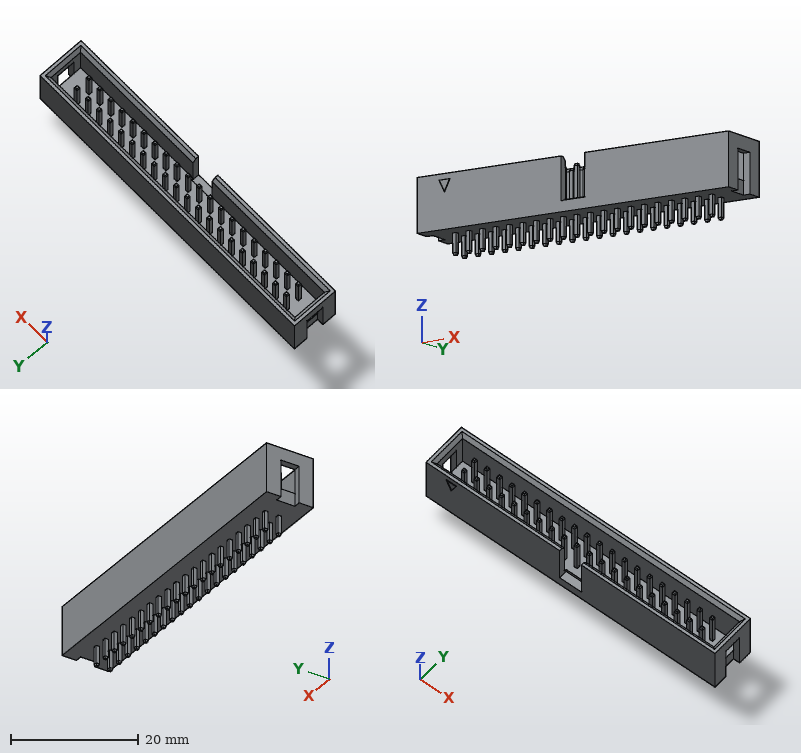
import cadquery as cq

length = 58.6
depth = 8.8
height = 9.0
wall = 1.25
floor_thickness = 2.35
rim_width = 0.6
lead_in = wall - rim_width

pin_count = 20
row_count = 2
row_length = 48.2
pitch = row_length / (pin_count - 1)
pin_width = 0.65
taper_height = 0.35
taper_inset = 0.1
pin_tail = 3.6
pin_top_gap = 0.75

notch_width = 4.4
notch_reach = 1.6
notch_bottom = 1.8

slot_width = 3.4
slot_top = 6.75

mark_width = 2.0
mark_height = 2.0
mark_top_gap = 1.0
mark_relief = 0.1

first_pin_x = -row_length / 2
front_y = -depth / 2


def box_on(bottom, top, size_x, size_y, x=0, y=0):
    """Upright box centred on (x, y) between two heights."""
    return cq.Workplane("XY", origin=(x, y, bottom)).rect(size_x, size_y).extrude(top - bottom)


def make_housing():
    cavity = box_on(floor_thickness, height, length - 2 * wall, depth - 2 * wall)
    shell = box_on(0, height, length, depth).cut(cavity)
    mouth_edges = cq.selectors.BoxSelector(
        (-length / 2 + rim_width, front_y + rim_width, height - rim_width),
        (length / 2 - rim_width, -front_y - rim_width, height + rim_width),
    )
    return shell.faces(">Z").edges(mouth_edges).chamfer(lead_in)


def make_notch():
    return box_on(notch_bottom, height, notch_width, notch_reach, y=front_y + notch_reach / 2)


def make_end_slot(side):
    return box_on(0, slot_top, wall, slot_width, x=side * (length - wall) / 2)


def make_mark():
    top = height - mark_top_gap
    corners = [
        (first_pin_x - mark_width / 2, top),
        (first_pin_x + mark_width / 2, top),
        (first_pin_x, top - mark_height),
    ]
    return cq.Workplane("XZ", origin=(0, front_y, 0)).polyline(corners).close().extrude(mark_relief)


def make_pins():
    tip_width = pin_width - 2 * taper_inset
    shank_bottom = taper_height - pin_tail
    shank_top = height - pin_top_gap - taper_height
    pin = box_on(shank_bottom, shank_top, pin_width, pin_width)
    for end in ("<Z", ">Z"):
        base = pin.faces(end).workplane().rect(pin_width, pin_width)
        pin = base.workplane(offset=taper_height).rect(tip_width, tip_width).loft(combine=True)
    centres = cq.Workplane("XY").rarray(pitch, pitch, pin_count, row_count)
    return centres.eachpoint(lambda place: pin.val().moved(place))


housing = make_housing().cut(make_notch())
for side in (-1, 1):
    housing = housing.cut(make_end_slot(side))

result = housing.union(make_mark()).union(make_pins())